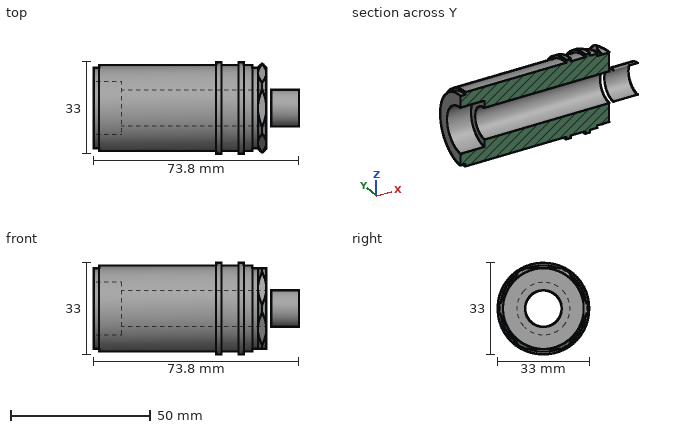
import cadquery as cq
import math

TOTAL_LENGTH = 73.8

BARREL_DIAMETER = 31.0
BARREL_END = 57.0
SPIGOT_DIAMETER = 29.0
SPIGOT_LENGTH = 2.0

RING_DIAMETER = 33.0
RING_WIDTH = 2.0
RING_STARTS = (44.0, 52.0)

NECK_END = 59.0
HEX_WIDTH = 3.0
HEX_ACROSS_FLATS = SPIGOT_DIAMETER
HEX_ACROSS_CORNERS = HEX_ACROSS_FLATS / math.cos(math.pi / 6)
HOUSING_LENGTH = NECK_END + HEX_WIDTH

BORE_DIAMETER = 13.0
COUNTERBORE_DIAMETER = 19.0
COUNTERBORE_DEPTH = 10.0

SLEEVE_LENGTH = 10.1
SLEEVE_WALL = 0.11
SLEEVE_DIAMETER = BORE_DIAMETER + 2 * SLEEVE_WALL
SLEEVE_START = TOTAL_LENGTH - SLEEVE_LENGTH
SLEEVE_CHAMFER = 0.1


def cylinder(start, length, diameter):
    """Solid cylinder along +X that begins at x = start."""
    return cq.Workplane("YZ", origin=(start, 0, 0)).circle(diameter / 2).extrude(length)


def make_hex_nut():
    """Hexagon with two flats square to Z, its corners turned off by two 45 degree cones."""
    hexagon = (
        cq.Workplane("YZ", origin=(NECK_END, 0, 0))
        .polygon(6, HEX_ACROSS_CORNERS)
        .extrude(HEX_WIDTH)
    )
    edge_radius = HEX_ACROSS_FLATS / 2
    ridge_radius = edge_radius + HEX_WIDTH / 2
    double_cone = (
        cq.Workplane("XY")
        .moveTo(NECK_END, 0)
        .lineTo(NECK_END, edge_radius)
        .lineTo(NECK_END + HEX_WIDTH / 2, ridge_radius)
        .lineTo(HOUSING_LENGTH, edge_radius)
        .lineTo(HOUSING_LENGTH, 0)
        .close()
        .revolve(360, (0, 0, 0), (1, 0, 0))
    )
    return hexagon.intersect(double_cone)


def make_housing():
    """Barrel with spigot, rings, neck and hexagonal end, bored right through."""
    body = cylinder(0, NECK_END, SPIGOT_DIAMETER)
    body = body.union(cylinder(SPIGOT_LENGTH, BARREL_END - SPIGOT_LENGTH, BARREL_DIAMETER))
    for ring_start in RING_STARTS:
        body = body.union(cylinder(ring_start, RING_WIDTH, RING_DIAMETER))
    body = body.union(make_hex_nut())
    body = body.cut(cylinder(0, HOUSING_LENGTH, BORE_DIAMETER))
    return body.cut(cylinder(0, COUNTERBORE_DEPTH, COUNTERBORE_DIAMETER))


def make_sleeve():
    """Thin tube with a small 45 degree chamfer around the outside of its far end."""
    inner_radius = BORE_DIAMETER / 2
    outer_radius = SLEEVE_DIAMETER / 2
    return (
        cq.Workplane("XY")
        .moveTo(SLEEVE_START, inner_radius)
        .lineTo(SLEEVE_START, outer_radius)
        .lineTo(TOTAL_LENGTH - SLEEVE_CHAMFER, outer_radius)
        .lineTo(TOTAL_LENGTH, outer_radius - SLEEVE_CHAMFER)
        .lineTo(TOTAL_LENGTH, inner_radius)
        .close()
        .revolve(360, (0, 0, 0), (1, 0, 0))
    )


housing = make_housing()
sleeve = make_sleeve()

result = cq.Compound.makeCompound([housing.val(), sleeve.val()])